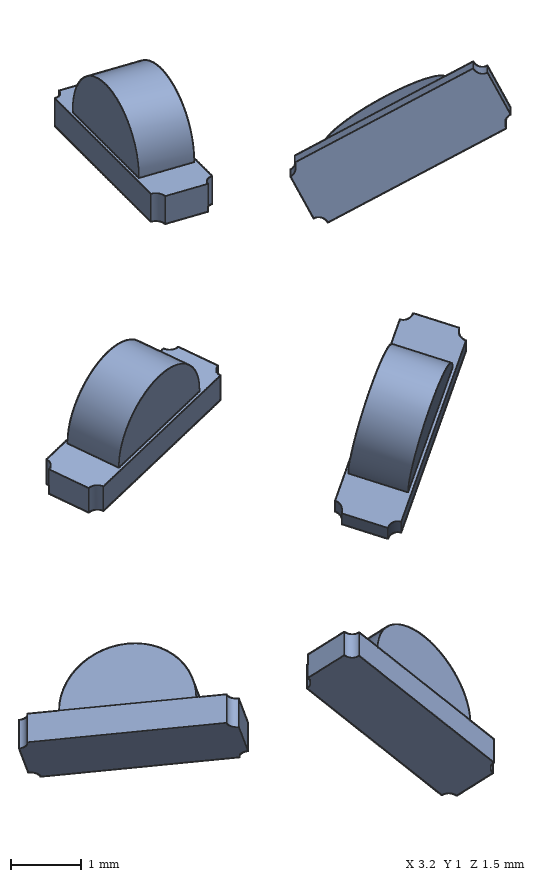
import cadquery as cq

base_length = 3.2
base_width = 1.0
base_height = 0.475
notch_radius = 0.15

overall_height = 1.5
lens_radius = 1.0
lens_width = 0.9
lens_axis_height = overall_height - lens_radius


def make_base():
    """Rectangular block, bottom at Z = 0, with its vertical corners scooped out."""
    block = cq.Workplane("XY").box(base_length, base_width, base_height, centered=(True, True, False))
    notches = (
        cq.Workplane("XY")
        .rect(base_length, base_width, forConstruction=True)
        .vertices()
        .circle(notch_radius)
        .extrude(base_height)
    )
    return block.cut(notches)


def make_lens():
    """Half cylinder along Y, with short straight sides down to the base."""
    return (
        cq.Workplane("XZ")
        .moveTo(-lens_radius, base_height)
        .lineTo(-lens_radius, lens_axis_height)
        .threePointArc((0, overall_height), (lens_radius, lens_axis_height))
        .lineTo(lens_radius, base_height)
        .close()
        .extrude(lens_width / 2, both=True)
    )


result = make_base().union(make_lens())